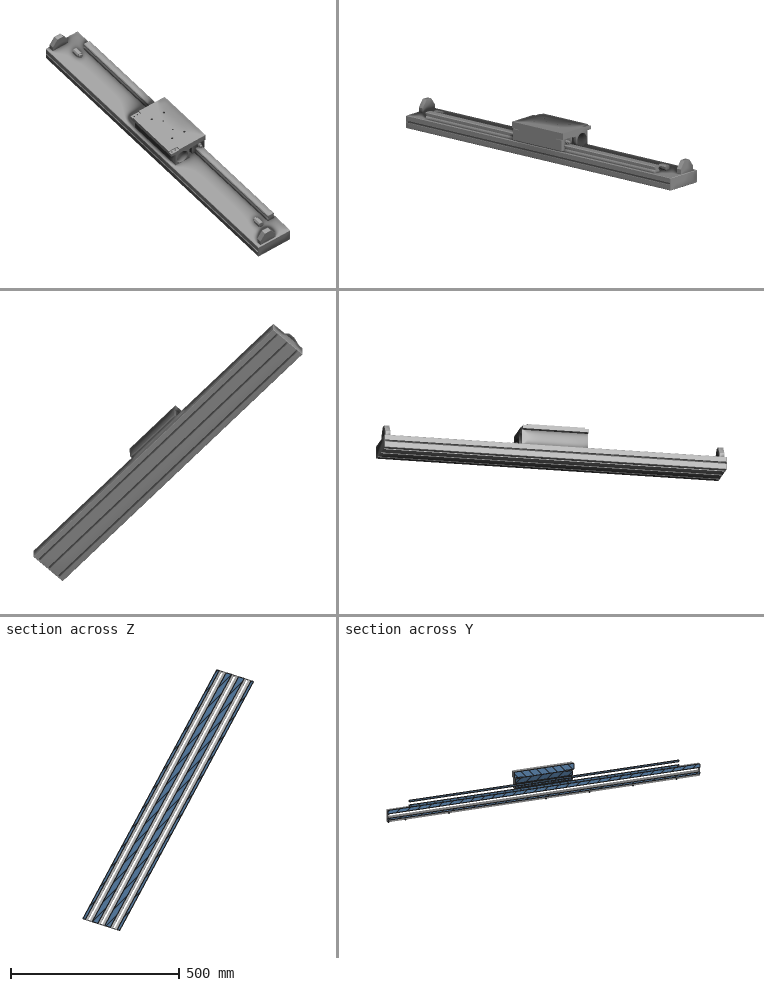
import cadquery as cq


BASE_LENGTH = 1040.0
BASE_WIDTH = 120.0
BASE_HEIGHT = 38.0
BASE_CHAMFER = 1.0
END_WALL = 2.0

SLOT_PITCH = 40.0
SLOT_OPENING = 6.0
SLOT_LIP = 3.0
SLOT_CAVITY = 21.0
SLOT_SHOULDER = 3.0
SLOT_DEPTH = 12.0
SIDE_SLOT_Z = 20.0

RAIL_LENGTH = 900.0
RAIL_Y = 41.0
RAIL_WIDTH = 23.0
RAIL_HEIGHT = 22.0
RAIL_WAIST_WIDTH = 16.0
RAIL_FOOT_HEIGHT = 3.0
RAIL_FOOT_TOP = 6.0
RAIL_FOOT_TAPER = 1.0
RAIL_WAIST_BOTTOM = 9.0
RAIL_WAIST_TOP = 15.0
RAIL_HEAD_BOTTOM = 16.0
RAIL_HEAD_CHAMFER = 2.0
RAIL_CLEARANCE = 1.0

CARRIAGE_LENGTH = 200.0
CARRIAGE_WIDTH = 128.0
CARRIAGE_TOP = 99.0
LIP_THICKNESS = 14.0
SLAB_BOTTOM = 77.0
HOUSING_Y_MIN = -48.0
HOUSING_Y_MAX = 4.0
HOUSING_BOTTOM = 40.0
BORE_DIAMETER = 42.0
BORE_Y = -23.0
BORE_Z = 61.0

MOUNT_HOLE_DIAMETER = 6.7
MOUNT_HOLE_MOUTH = 8.0
MOUNT_HOLE_X = 50.0
MOUNT_HOLE_Y = 23.0
PIN_HOLE_DIAMETER = 4.9
PIN_HOLE_X = 23.0
HOLE_DEPTH = 12.0

POCKET_LENGTH = 12.0
POCKET_Y_MAX = -33.0
POCKET_DEPTH = 3.0
POCKET_HOLE_DIAMETER = 5.0
POCKET_HOLE_INSET = 7.0
POCKET_HOLE_YS = (-44.0, -56.0)

BLOCK_LENGTH = 191.0
BLOCK_WIDTH = 47.0
BLOCK_BOTTOM = 44.0
BLOCK_CORE_LENGTH = 146.0
BLOCK_RECESS = 2.0

NIPPLE_Y = 43.0
NIPPLE_Z = 69.0
NIPPLE_HEAD_DIAMETER = 8.1
NIPPLE_FLANGE_DIAMETER = 12.0
NIPPLE_FLANGE_LENGTH = 6.0
NIPPLE_LENGTH = 14.0

END_PLATE_X = 499.0
END_PLATE_THICKNESS = 16.0
END_PLATE_Y = -20.3
END_PLATE_WIDTH = 56.0
END_PLATE_HEIGHT = 37.0
END_PLATE_TOP_WIDTH = 22.0
END_PLATE_SIDE_HEIGHT = 15.0

BUMPER_X = 455.0
BUMPER_LENGTH = 25.0
BUMPER_WIDTH = 18.0
BUMPER_HEIGHT = 16.0
BUMPER_CHAMFER = 4.0
BUMPER_TIP_DIAMETER = 12.0
BUMPER_TIP_LENGTH = 6.0

ENDS = (-1, 1)

carriage_half_length = CARRIAGE_LENGTH / 2
carriage_half_width = CARRIAGE_WIDTH / 2
block_y_min = carriage_half_width - BLOCK_WIDTH
recess_top = SLAB_BOTTOM + BLOCK_RECESS


def bar(length, y_min, y_max, z_min, z_max):
    """Rectangular bar along X, centred on X = 0."""
    shape = cq.Workplane("XY").box(length, y_max - y_min, z_max - z_min)
    return shape.translate((0, (y_min + y_max) / 2, (z_min + z_max) / 2))


def prism(points, length):
    """Prism along X of an outline of (y, z) points, centred on X = 0."""
    return cq.Workplane("YZ").polyline(points).close().extrude(length / 2, both=True)


def symmetric(half_points):
    """Closes a half outline by mirroring it to the other side of y = 0."""
    return half_points + [(-y, z) for y, z in reversed(half_points)]


def rod(diameter, x_start, x_end, y, z):
    """Cylinder along X."""
    return cq.Workplane("YZ", origin=(x_start, y, z)).circle(diameter / 2).extrude(x_end - x_start)


def t_slot():
    """T-slot cutter that opens downwards at the origin."""
    opening = SLOT_OPENING / 2
    cavity = SLOT_CAVITY / 2
    half = [
        (opening, 0),
        (opening, SLOT_LIP),
        (cavity, SLOT_LIP),
        (cavity, SLOT_LIP + SLOT_SHOULDER),
        (opening, SLOT_DEPTH),
    ]
    return prism(symmetric(half), BASE_LENGTH - 2 * END_WALL)


def end_plate(end):
    """Upright plate with bevelled shoulders on top of the base."""
    side = END_PLATE_WIDTH / 2
    half = [
        (side, 0),
        (side, END_PLATE_SIDE_HEIGHT),
        (END_PLATE_TOP_WIDTH / 2, END_PLATE_HEIGHT),
    ]
    x = end * (END_PLATE_X + END_PLATE_THICKNESS / 2)
    return prism(symmetric(half), END_PLATE_THICKNESS).translate((x, END_PLATE_Y, BASE_HEIGHT))


def make_base():
    half_width = BASE_WIDTH / 2
    base = bar(BASE_LENGTH, -half_width, half_width, 0, BASE_HEIGHT).edges().chamfer(BASE_CHAMFER)
    for place in (-1, 0, 1):
        base = base.cut(t_slot().translate((0, place * SLOT_PITCH, 0)))
    for side in (-1, 1):
        side_slot = t_slot().rotate((0, 0, 0), (1, 0, 0), side * 90)
        base = base.cut(side_slot.translate((0, side * half_width, SIDE_SLOT_Z)))
    for end in ENDS:
        base = base.union(end_plate(end))
    return base


def rail_shape(length, clearance=0):
    """Waisted rail section, grown by the clearance on its sides and top."""
    side = RAIL_WIDTH / 2 + clearance
    waist = RAIL_WAIST_WIDTH / 2 + clearance
    top = RAIL_HEIGHT + clearance
    half = [
        (side, 0),
        (side, RAIL_FOOT_HEIGHT),
        (side - RAIL_FOOT_TAPER, RAIL_FOOT_TOP),
        (waist, RAIL_WAIST_BOTTOM),
        (waist, RAIL_WAIST_TOP),
        (side, RAIL_HEAD_BOTTOM),
        (side, top - RAIL_HEAD_CHAMFER),
        (side - RAIL_HEAD_CHAMFER, top),
    ]
    return prism(symmetric(half), length).translate((0, RAIL_Y, BASE_HEIGHT))


def make_rail():
    return rail_shape(RAIL_LENGTH)


def grease_nipple(end):
    """Flange and head on the end face of the bearing block."""
    x_face = BLOCK_LENGTH / 2
    flange_end = x_face + NIPPLE_FLANGE_LENGTH
    head_end = x_face + NIPPLE_LENGTH
    flange = rod(NIPPLE_FLANGE_DIAMETER, end * x_face, end * flange_end, NIPPLE_Y, NIPPLE_Z)
    head = rod(NIPPLE_HEAD_DIAMETER, end * x_face, end * head_end, NIPPLE_Y, NIPPLE_Z)
    return flange.union(head)


def make_block():
    block = bar(BLOCK_LENGTH, block_y_min, carriage_half_width, BLOCK_BOTTOM, SLAB_BOTTOM)
    block = block.union(bar(BLOCK_CORE_LENGTH, block_y_min, carriage_half_width, BLOCK_BOTTOM, recess_top))
    block = block.cut(rail_shape(BLOCK_LENGTH, RAIL_CLEARANCE))
    for end in ENDS:
        block = block.union(grease_nipple(end))
    return block


def top_holes(diameter, centres):
    """Blind holes from the top of the carriage."""
    floor = cq.Workplane("XY", origin=(0, 0, CARRIAGE_TOP - HOLE_DEPTH))
    return floor.pushPoints(centres).circle(diameter / 2).extrude(HOLE_DEPTH)


def carriage_body():
    """Plate with the bored housing below it and a recess for the bearing block."""
    y_max = carriage_half_width
    lip_bottom = CARRIAGE_TOP - LIP_THICKNESS
    body = bar(CARRIAGE_LENGTH, -y_max, y_max, lip_bottom, CARRIAGE_TOP)
    body = body.union(bar(CARRIAGE_LENGTH, HOUSING_Y_MIN, y_max, SLAB_BOTTOM, CARRIAGE_TOP))
    body = body.union(bar(CARRIAGE_LENGTH, HOUSING_Y_MIN, HOUSING_Y_MAX, HOUSING_BOTTOM, CARRIAGE_TOP))
    body = body.cut(bar(CARRIAGE_LENGTH, block_y_min, y_max, SLAB_BOTTOM, recess_top))
    return body.cut(rod(BORE_DIAMETER, -carriage_half_length, carriage_half_length, BORE_Y, BORE_Z))


def countersinks(centres):
    """Conical mouths of the mounting holes."""
    depth = (MOUNT_HOLE_MOUTH - MOUNT_HOLE_DIAMETER) / 2
    cone = cq.Solid.makeCone(MOUNT_HOLE_DIAMETER / 2, MOUNT_HOLE_MOUTH / 2, depth)
    level = cq.Workplane("XY", origin=(0, 0, CARRIAGE_TOP - depth))
    return level.pushPoints(centres).eachpoint(lambda place: cone.moved(place))


def corner_pocket(end):
    """Shallow pocket, open at the corner of the plate."""
    y_min = -carriage_half_width
    pocket = bar(POCKET_LENGTH, y_min, POCKET_Y_MAX, CARRIAGE_TOP - POCKET_DEPTH, CARRIAGE_TOP)
    return pocket.translate((end * (carriage_half_length - POCKET_LENGTH / 2), 0, 0))


def make_carriage():
    carriage = carriage_body()
    mounts = [(x, y) for x in (-MOUNT_HOLE_X, MOUNT_HOLE_X) for y in (-MOUNT_HOLE_Y, MOUNT_HOLE_Y)]
    carriage = carriage.cut(top_holes(MOUNT_HOLE_DIAMETER, mounts))
    carriage = carriage.cut(countersinks(mounts))
    carriage = carriage.cut(top_holes(PIN_HOLE_DIAMETER, [(-PIN_HOLE_X, 0), (PIN_HOLE_X, 0)]))
    for end in ENDS:
        hole_x = end * (carriage_half_length - POCKET_HOLE_INSET)
        carriage = carriage.cut(corner_pocket(end))
        carriage = carriage.cut(top_holes(POCKET_HOLE_DIAMETER, [(hole_x, y) for y in POCKET_HOLE_YS]))
    return carriage


def make_bumper(end):
    """Octagonal stop on the base with a round tip that faces the carriage."""
    half_width = BUMPER_WIDTH / 2
    inner_face = BUMPER_X - BUMPER_LENGTH
    tip_end = inner_face - BUMPER_TIP_LENGTH
    body = bar(BUMPER_LENGTH, -half_width, half_width, BASE_HEIGHT, BASE_HEIGHT + BUMPER_HEIGHT)
    body = body.edges("|X").chamfer(BUMPER_CHAMFER)
    body = body.translate((end * (BUMPER_X - BUMPER_LENGTH / 2), 0, 0))
    tip_z = BASE_HEIGHT + BUMPER_HEIGHT / 2
    return body.union(rod(BUMPER_TIP_DIAMETER, end * inner_face, end * tip_end, 0, tip_z))


base = make_base()
rail = make_rail()
block = make_block()
carriage = make_carriage()
bumpers = [make_bumper(end) for end in ENDS]

bodies = [base, rail, block, carriage, *bumpers]
result = cq.Compound.makeCompound([body.solids().val() for body in bodies])